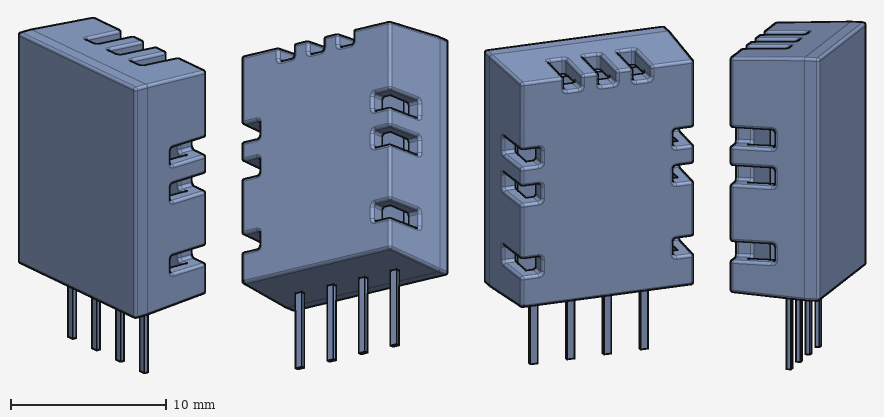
import cadquery as cq
import math

WIDTH = 12.5
DEPTH = 6.0
HEIGHT = 16.0
STRAIGHT_DEPTH = 1.0
DRAFT_ANGLE = 3.0
EDGE_RADIUS = 0.2
WALL = 1.2
SIDE_WALL = 1.0

SLOT_WIDTH = 1.2
SLOT_DEPTH = 3.0
SIDE_SLOT_REACH = 1.68
TOP_SLOT_PITCH = 2.4
TOP_SLOT_X = [-TOP_SLOT_PITCH, 0, TOP_SLOT_PITCH]
SIDE_SLOT_Z = [3.0, 8.0, 10.5]

BOARD_SETBACK = 2.5
PIN_COUNT = 4
PIN_PITCH = 2.55
PIN_WIDTH = 0.5
PIN_THICKNESS = 0.3
PIN_SETBACK = 3.28
PIN_LENGTH = 5.0

TAPER_DEPTH = DEPTH - STRAIGHT_DEPTH
DRAFT_INSET = TAPER_DEPTH * math.tan(math.radians(DRAFT_ANGLE))
FRONT_HALF_WIDTH = WIDTH / 2 - DRAFT_INSET
FRONT_TOP = HEIGHT - DRAFT_INSET

CAVITY_X = (SIDE_WALL - WIDTH / 2, WIDTH / 2 - SIDE_WALL)
CAVITY_Y = (WALL, DEPTH - WALL)
CAVITY_Z = (WALL, HEIGHT - WALL)

SLOT_BACK = DEPTH - SLOT_DEPTH
SIDE_SLOT_END = WIDTH / 2 - SIDE_SLOT_REACH
BEYOND = 0.2


def block(x_range, y_range, z_range):
    """Box between the given limits along X, Y and Z."""
    sizes = [high - low for low, high in (x_range, y_range, z_range)]
    corner = (x_range[0], y_range[0], z_range[0])
    return cq.Workplane("XY").box(*sizes, centered=False).translate(corner)


def around(center, width):
    """Limits of a range of the given width about its center."""
    return (center - width / 2, center + width / 2)


def outward(side, inner, outer):
    """X limits from inner to outer on the -X side (-1) or the +X side (1)."""
    return tuple(sorted((side * inner, side * outer)))


def rounded_outline(inset):
    outline = cq.Sketch().rect(WIDTH - 2 * inset, HEIGHT - 2 * inset)
    return outline.vertices().fillet(EDGE_RADIUS)


def tapered_block():
    """Straight band at -Y followed by the tapered part, with rounded sides and -Y rim."""
    back = cq.Workplane("XZ", origin=(0, 0, HEIGHT / 2))
    band = back.placeSketch(rounded_outline(0)).extrude(-STRAIGHT_DEPTH)
    small_end = rounded_outline(DRAFT_INSET).moved(cq.Location(cq.Vector(0, 0, -TAPER_DEPTH)))
    taper_start = back.workplane(offset=-STRAIGHT_DEPTH)
    taper = taper_start.placeSketch(rounded_outline(0), small_end).loft(ruled=True)
    return band.union(taper).faces("<Y").edges().fillet(EDGE_RADIUS)


def top_slot(x):
    """Cutter for a slot through the top wall, with a rounded end where it notches the +Y wall."""
    x_range = around(x, SLOT_WIDTH)
    z_range = (CAVITY_Z[1], HEIGHT + BEYOND)
    opening = block(x_range, (SLOT_BACK, CAVITY_Y[1]), z_range)
    notch = block(x_range, (CAVITY_Y[1], DEPTH + BEYOND), z_range)
    rounded_opening = opening.edges("<Y and |Z").fillet(EDGE_RADIUS)
    return rounded_opening.union(notch.edges("<Z and |Y").fillet(EDGE_RADIUS))


def side_slot(side, z):
    """Cutter for a slot through a side wall, rounded along its floor and its inner end."""
    cutter = block(
        outward(side, SIDE_SLOT_END, WIDTH / 2 + BEYOND),
        (SLOT_BACK, DEPTH + BEYOND),
        around(z, SLOT_WIDTH),
    )
    inner_end = "<X" if side > 0 else ">X"
    return cutter.edges(f"(<Y and |X) or ({inner_end} and |Y)").fillet(EDGE_RADIUS)


def edges_within(x_range, y_range, z_range):
    """Selector for edges whose center lies within the given limits."""
    low, high = zip(x_range, y_range, z_range)
    return cq.selectors.BoxSelector(low, high)


def top_rim(x):
    """Selector for a top slot's rim on the tapered top."""
    return edges_within(
        around(x, SLOT_WIDTH + BEYOND),
        (SLOT_BACK - BEYOND, DEPTH - EDGE_RADIUS),
        (FRONT_TOP - EDGE_RADIUS, HEIGHT),
    )


def side_rim(side, z):
    """Selector for a side slot's rim on the tapered side."""
    return edges_within(
        outward(side, FRONT_HALF_WIDTH - EDGE_RADIUS, WIDTH / 2),
        (SLOT_BACK - BEYOND, DEPTH - EDGE_RADIUS),
        around(z, SLOT_WIDTH + BEYOND),
    )


def wall_end(side, z):
    """Selector for the inner edge of the +Y wall where a side slot ends in it."""
    return edges_within(
        outward(side, SIDE_SLOT_END - EDGE_RADIUS, CAVITY_X[1] - EDGE_RADIUS / 10),
        around(CAVITY_Y[1], EDGE_RADIUS),
        around(z, SLOT_WIDTH + BEYOND),
    )


def all_of(selectors):
    """Selector for everything that any of the given selectors picks."""
    combined = selectors[0]
    for selector in selectors[1:]:
        combined = combined + selector
    return combined


def make_housing(board):
    """Hollow vented housing, with room for the board and its pins."""
    side_slots = [(side, z) for side in (-1, 1) for z in SIDE_SLOT_Z]
    housing = tapered_block()
    for x in TOP_SLOT_X:
        housing = housing.cut(top_slot(x))
    for side, z in side_slots:
        housing = housing.cut(side_slot(side, z))

    front_rim = cq.selectors.StringSyntaxSelector("#Y and >Y")
    top_rims = [top_rim(x) for x in TOP_SLOT_X]
    side_rims = [side_rim(side, z) for side, z in side_slots]
    housing = housing.edges(all_of([front_rim] + top_rims + side_rims)).fillet(EDGE_RADIUS)

    housing = housing.cut(block(CAVITY_X, CAVITY_Y, CAVITY_Z))
    wall_ends = [wall_end(side, z) for side, z in side_slots]
    housing = housing.edges(all_of(wall_ends)).fillet(EDGE_RADIUS)
    return housing.cut(board)


def make_board():
    """Board filling the cavity behind an air gap, in one piece with its row of pins."""
    board = block(CAVITY_X, (CAVITY_Y[0], DEPTH - BOARD_SETBACK), CAVITY_Z)
    pin_front = DEPTH - PIN_SETBACK
    pin_y = (pin_front - PIN_THICKNESS, pin_front)
    pin_z = (-PIN_LENGTH, CAVITY_Z[0])
    for i in range(PIN_COUNT):
        x = (i - (PIN_COUNT - 1) / 2) * PIN_PITCH
        board = board.union(block(around(x, PIN_WIDTH), pin_y, pin_z))
    return board


board = make_board()
housing = make_housing(board)
result = cq.Compound.makeCompound([housing.val(), board.val()])